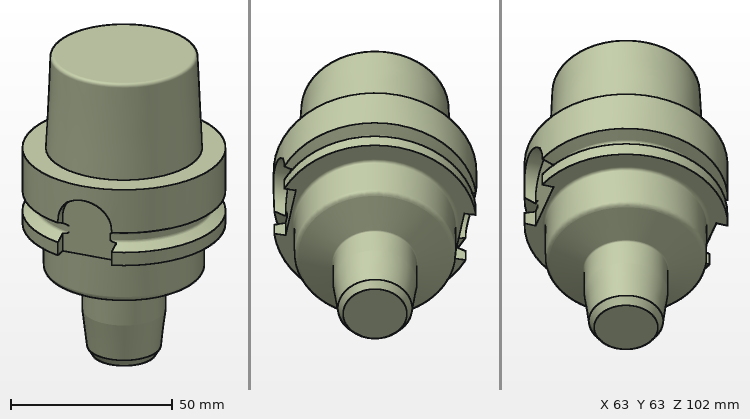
import cadquery as cq
import math

total_height = 102
nose_chamfer_top = 2.7
nose_taper_top = 15.2
cone_bottom = 24.6
flange_bottom = 44.2
flange_top = 70.0

nose_end_radius = 9.9
nose_chamfer_radius = 11.5
nose_radius = 26.0 / 2
body_radius = 50 / 2
flange_radius = 63.0 / 2
shank_base_radius = 24.3
shank_top_radius = 22.8

cone_angle = math.radians(21)
cone_top = cone_bottom + (body_radius - nose_radius) * math.tan(cone_angle)

shank_top_fillet = 1.2
shoulder_fillet = 1.8
nose_root_fillet = 0.5
flange_root_fillet = 1

groove_center = 51.9
groove_mouth_width = 6.6
groove_root_radius = 27.4
groove_root_width = 3.0
groove_root_fillet = 0.8

slot_width = 18.2
slot_top = 65.1
slot_floor_distance = 26.5
slot_cutter_depth = 10.2


def turned_body():
    """Solid of revolution with sharp edges, without the groove."""
    return (
        cq.Workplane("XZ")
        .polyline([
            (0, 0),
            (nose_end_radius, 0),
            (nose_chamfer_radius, nose_chamfer_top),
            (nose_radius, nose_taper_top),
            (nose_radius, cone_bottom),
            (body_radius, cone_top),
            (body_radius, flange_bottom),
            (flange_radius, flange_bottom),
            (flange_radius, flange_top),
            (shank_base_radius, flange_top),
            (shank_top_radius, total_height),
            (0, total_height),
        ])
        .close()
        .revolve(360, (0, 0, 0), (0, 1, 0))
    )


def round_circle(body, radius, height, fillet):
    """Fillet the circular edge of the given radius at the given height."""
    margin = 0.05

    def edges_within(reach):
        low_corner = (-reach, -reach, height - margin)
        high_corner = (reach, reach, height + margin)
        return cq.selectors.BoxSelector(low_corner, high_corner, boundingbox=True)

    circle = edges_within(radius + margin) - edges_within(radius - margin)
    return body.edges(circle).fillet(fillet)


def groove_ring():
    """Ring that cuts the V-flanked groove, with rounded root corners."""
    half_mouth = groove_mouth_width / 2
    half_root = groove_root_width / 2
    ring = (
        cq.Workplane("XZ")
        .polyline([
            (flange_radius, groove_center - half_mouth),
            (groove_root_radius, groove_center - half_root),
            (groove_root_radius, groove_center + half_root),
            (flange_radius, groove_center + half_mouth),
        ])
        .close()
        .revolve(360, (0, 0, 0), (0, 1, 0))
    )
    for height in (groove_center - half_root, groove_center + half_root):
        ring = round_circle(ring, groove_root_radius, height, groove_root_fillet)
    return ring


def drive_slot():
    """Cutter for the slot on the -Y side, open at the flange underside."""
    half_width = slot_width / 2
    arc_start = slot_top - half_width
    return (
        cq.Workplane("XZ", origin=(0, -slot_floor_distance, 0))
        .moveTo(-half_width, flange_bottom)
        .lineTo(-half_width, arc_start)
        .threePointArc((0, slot_top), (half_width, arc_start))
        .lineTo(half_width, flange_bottom)
        .close()
        .extrude(slot_cutter_depth)
    )


result = turned_body()
result = round_circle(result, shank_top_radius, total_height, shank_top_fillet)
result = round_circle(result, body_radius, cone_top, shoulder_fillet)
result = round_circle(result, nose_radius, cone_bottom, nose_root_fillet)
result = round_circle(result, body_radius, flange_bottom, flange_root_fillet)
result = result.cut(groove_ring())

front_slot = drive_slot()
back_slot = front_slot.rotate((0, 0, 0), (0, 0, 1), 180)
result = result.cut(front_slot.union(back_slot))